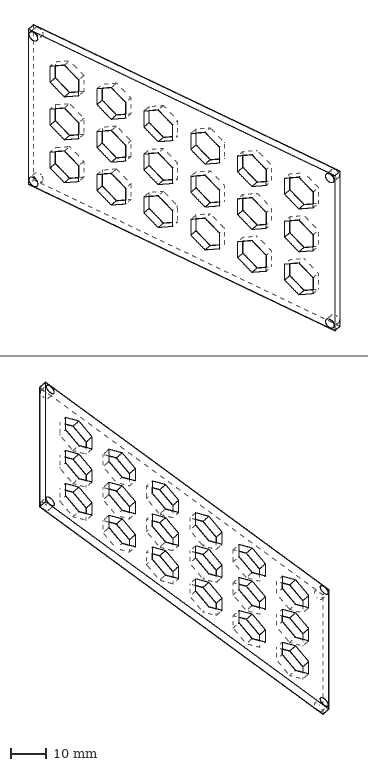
import cadquery as cq
import math

plate_length = 108.2
plate_height = 56.9
plate_thickness = 2.5

window_columns = 6
window_rows = 3
grid_length = 82.8
grid_height = 31.5
column_pitch = grid_length / (window_columns - 1)
row_pitch = grid_height / (window_rows - 1)
window_width = 10.1
window_corner_radius = window_width / 2 / math.cos(math.pi / 6)

corner_hole_diameter = 3.0
large_corner_hole_diameter = 3.1
corner_hole_edge_wall = 0.27
corner_hole_inset = corner_hole_edge_wall + corner_hole_diameter / 2
corner_hole_x = plate_length / 2 - corner_hole_inset
corner_hole_z = plate_height / 2 - corner_hole_inset


def make_plate():
    return cq.Workplane("XZ").box(plate_length, plate_height, plate_thickness)


def make_window_outline():
    corner_angles = [math.radians(30 + 60 * i) for i in range(6)]
    corners = [
        (window_corner_radius * math.cos(angle), window_corner_radius * math.sin(angle))
        for angle in corner_angles
    ]
    return cq.Sketch().polygon(corners + corners[:1])


def front_face(plate):
    return plate.faces("<Y").workplane(origin=(0, 0, 0))


def cut_windows(plate):
    return (
        front_face(plate)
        .rarray(column_pitch, row_pitch, window_columns, window_rows)
        .placeSketch(make_window_outline())
        .cutThruAll()
    )


def cut_corner_holes(plate):
    regular_centers = [
        (-corner_hole_x, corner_hole_z),
        (corner_hole_x, corner_hole_z),
        (corner_hole_x, -corner_hole_z),
    ]
    large_center = (-corner_hole_x, -corner_hole_z)
    plate = front_face(plate).pushPoints(regular_centers).hole(corner_hole_diameter)
    return front_face(plate).pushPoints([large_center]).hole(large_corner_hole_diameter)


result = cut_corner_holes(cut_windows(make_plate()))